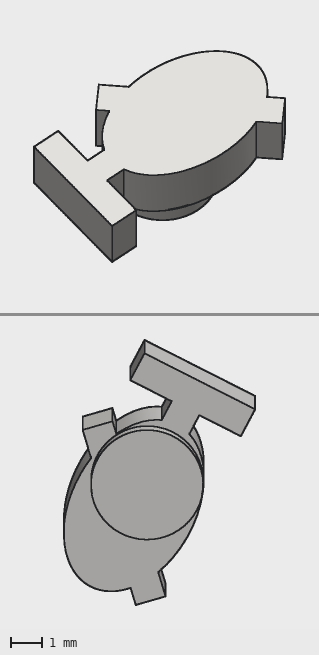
import cadquery as cq

plate_thickness = 2.0
oval_half_width = 2.0
oval_half_length = 3.0

strip_length = 6.0
strip_width = 1.0
strip_angle = 46.1
strip_center = (-0.165, 0.365)

stem_width = 1.0
bar_width = 2 * oval_half_width
bar_depth = 1.0
bar_gap = 0.6
bar_top_y = -oval_half_length - bar_gap

boss_diameter = 3.6
boss_height = 0.6
boss_center = (0.0, -0.92)


def make_oval():
    return cq.Workplane("XY").ellipse(oval_half_width, oval_half_length).extrude(plate_thickness)


def make_strip():
    strip = cq.Workplane("XY").rect(strip_length, strip_width).extrude(plate_thickness)
    strip = strip.rotate((0, 0, 0), (0, 0, 1), strip_angle)
    return strip.translate((*strip_center, 0))


def make_foot():
    stem_length = -bar_top_y
    stem = (
        cq.Workplane("XY")
        .center(0, bar_top_y + stem_length / 2)
        .rect(stem_width, stem_length)
        .extrude(plate_thickness)
    )
    bar = (
        cq.Workplane("XY")
        .center(0, bar_top_y - bar_depth / 2)
        .rect(bar_width, bar_depth)
        .extrude(plate_thickness)
    )
    return stem.union(bar)


def make_boss():
    return cq.Workplane("XY").center(*boss_center).circle(boss_diameter / 2).extrude(-boss_height)


result = make_oval().union(make_strip()).union(make_foot()).union(make_boss())